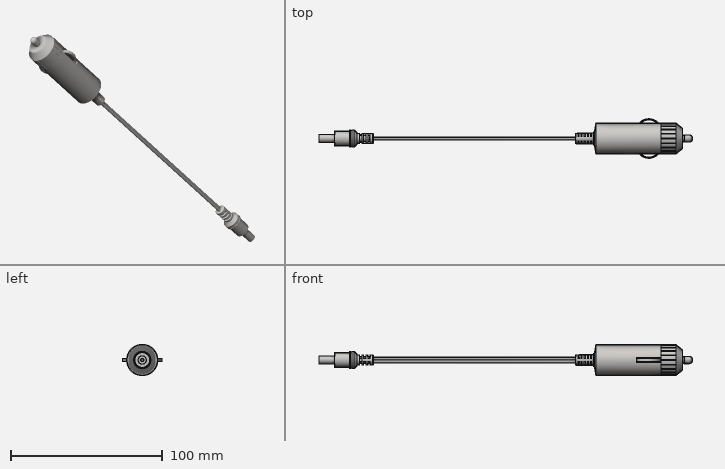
import cadquery as cq
import math

TOTAL_LENGTH = 246.0

BARREL_RADIUS = 2.7
BARREL_BORE_RADIUS = 1.05
BARREL_SEAT_DEPTH = 5.0
PLUG_FACE_X = 10.3
PLUG_RADIUS = 5.0
COLLAR_RADIUS = 5.7
COLLAR_START_X = 20.2
COLLAR_END_X = 23.9
COLLAR_EDGE_CHAMFER = 0.61
COLLAR_GROOVE_X = 21.0
COLLAR_GROOVE_WIDTH = 0.7
COLLAR_GROOVE_DEPTH = 0.2
SHOULDER_RADIUS = 4.0
PLUG_RELIEF_START_X = 25.0
PLUG_RELIEF_END_X = 36.0
PLUG_RELIEF_RADIUS = 3.5
PLUG_END_CHAMFER = 0.5
PLUG_CORE_RADIUS = 2.2
PLUG_GROOVE_WIDTH = 1.5
PLUG_GROOVE_START_X = 26.8
PLUG_GROOVE_PITCH = 2.7
PLUG_GROOVE_COUNT = 3
SPINE_WIDTH = 2.2
FIRST_SPINE_REACH = 2.7

WIRE_RADIUS = 1.0
CABLE_EMBED = 2.5

RELIEF_START_X = 169.0
RELIEF_RADIUS = 3.5
RELIEF_BASE_RADIUS = 3.7
FLANGE_RADIUS = 4.2
FLANGE_START_X = 180.8
WINDOW_COUNT = 5
WINDOW_START_X = 170.5
WINDOW_PITCH = 2.1
WINDOW_WIDTH = 0.7
WINDOW_HEIGHT = 1.7
WINDOW_FLOOR_Y = 1.5

HOUSING_DIAMETER = 20.5
HOUSING_RADIUS = HOUSING_DIAMETER / 2
HOUSING_START_X = 181.3
HOUSING_RIM_X = 182.2
CAP_START_X = 225.3
CAP_RIM_X = 235.0
CAP_END_X = 239.3
CAP_END_RADIUS = 6.6
CAP_GROOVE_COUNT = 20
CAP_GROOVE_WIDTH = 0.5
CAP_GROOVE_DEPTH = 0.2
CONTACT_RADIUS = 2.5
CONTACT_NECK_RADIUS = 2.2
CONTACT_NECK_LENGTH = 1.2
CONTACT_SEAT_DEPTH = 3.7

SPRING_REACH = 13.0
SPRING_RADIUS = 8.0
SPRING_THICKNESS = 0.7
SPRING_WIDTH = 2.2
SLOT_WIDTH = 3.5
SPRING_X = CAP_START_X - SPRING_RADIUS
SPRING_CENTRE_Y = SPRING_REACH - SPRING_RADIUS


def cylinder(start_x, end_x, radius):
    return cq.Workplane("YZ").workplane(offset=start_x).circle(radius).extrude(end_x - start_x)


def revolve_profile(points):
    """Turn a closed (x, radius) outline about the X axis."""
    return cq.Workplane("XY").polyline(points).close().revolve(360, (0, 0, 0), (1, 0, 0))


def box_between(x_range, y_range, z_range):
    sizes = [high - low for low, high in (x_range, y_range, z_range)]
    return cq.Workplane("XY").box(*sizes, centered=False).translate((x_range[0], y_range[0], z_range[0]))


def make_barrel():
    end_x = PLUG_FACE_X + BARREL_SEAT_DEPTH
    return cylinder(0, end_x, BARREL_RADIUS).cut(cylinder(0, end_x, BARREL_BORE_RADIUS))


def make_wire(side):
    start_x = PLUG_RELIEF_END_X - CABLE_EMBED
    end_x = RELIEF_START_X + CABLE_EMBED
    return cylinder(start_x, end_x, WIRE_RADIUS).translate((0, 0, side * WIRE_RADIUS))


def ring_groove(start_x, width, outer_radius, floor_radius):
    end_x = start_x + width
    return cylinder(start_x, end_x, outer_radius).cut(cylinder(start_x, end_x, floor_radius))


def make_plug_body(wires):
    grip = cylinder(PLUG_FACE_X, COLLAR_START_X, PLUG_RADIUS)
    collar = revolve_profile([
        (COLLAR_START_X, 0),
        (COLLAR_START_X, COLLAR_RADIUS),
        (COLLAR_END_X - COLLAR_EDGE_CHAMFER, COLLAR_RADIUS),
        (COLLAR_END_X, COLLAR_RADIUS - COLLAR_EDGE_CHAMFER),
        (PLUG_RELIEF_START_X, SHOULDER_RADIUS),
        (PLUG_RELIEF_START_X, 0),
    ])
    collar = collar.cut(ring_groove(
        COLLAR_GROOVE_X, COLLAR_GROOVE_WIDTH, COLLAR_RADIUS, COLLAR_RADIUS - COLLAR_GROOVE_DEPTH
    ))
    relief = cylinder(PLUG_RELIEF_START_X, PLUG_RELIEF_END_X, PLUG_RELIEF_RADIUS)
    relief = relief.faces(">X").edges().chamfer(PLUG_END_CHAMFER)
    for index in range(PLUG_GROOVE_COUNT):
        groove_x = PLUG_GROOVE_START_X + index * PLUG_GROOVE_PITCH
        groove = ring_groove(groove_x, PLUG_GROOVE_WIDTH, PLUG_RELIEF_RADIUS, PLUG_CORE_RADIUS)
        spine_reach = FIRST_SPINE_REACH if index == 0 else PLUG_RELIEF_RADIUS
        spine = box_between(
            (groove_x, groove_x + PLUG_GROOVE_WIDTH),
            (-spine_reach, spine_reach),
            (-SPINE_WIDTH / 2, SPINE_WIDTH / 2),
        )
        relief = relief.cut(groove.cut(spine))
    body = grip.union(collar).union(relief)
    seat = cylinder(PLUG_FACE_X, PLUG_FACE_X + BARREL_SEAT_DEPTH, BARREL_RADIUS)
    body = body.cut(seat)
    for wire in wires:
        body = body.cut(wire)
    return body


def make_relief(wires):
    relief = revolve_profile([
        (RELIEF_START_X, 0),
        (RELIEF_START_X, RELIEF_RADIUS),
        (FLANGE_START_X, RELIEF_BASE_RADIUS),
        (FLANGE_START_X, FLANGE_RADIUS),
        (HOUSING_START_X, FLANGE_RADIUS),
        (HOUSING_START_X, 0),
    ])
    for index in range(WINDOW_COUNT):
        window_x = WINDOW_START_X + index * WINDOW_PITCH
        window = box_between(
            (window_x, window_x + WINDOW_WIDTH),
            (WINDOW_FLOOR_Y, FLANGE_RADIUS),
            (SPINE_WIDTH / 2, SPINE_WIDTH / 2 + WINDOW_HEIGHT),
        )
        for side_window in (window, window.mirror("XZ")):
            relief = relief.cut(side_window).cut(side_window.mirror("XY"))
    for wire in wires:
        relief = relief.cut(wire)
    return relief


def make_housing():
    housing = revolve_profile([
        (HOUSING_START_X, 0),
        (HOUSING_START_X, FLANGE_RADIUS),
        (HOUSING_RIM_X, HOUSING_RADIUS),
        (CAP_START_X, HOUSING_RADIUS),
        (CAP_START_X, 0),
    ])
    for side in (-1, 1):
        slot = box_between(
            (SPRING_X - SPRING_RADIUS, CAP_START_X),
            (SPRING_CENTRE_Y, HOUSING_RADIUS),
            (-SLOT_WIDTH / 2, SLOT_WIDTH / 2),
        )
        housing = housing.cut(slot if side > 0 else slot.mirror("XZ"))
    return housing


def make_spring(side):
    inner_radius = SPRING_RADIUS - SPRING_THICKNESS
    arch = (
        cq.Workplane("XY")
        .workplane(offset=-SPRING_WIDTH / 2)
        .moveTo(-SPRING_RADIUS, 0)
        .threePointArc((0, SPRING_RADIUS), (SPRING_RADIUS, 0))
        .lineTo(inner_radius, 0)
        .threePointArc((0, inner_radius), (-inner_radius, 0))
        .close()
        .extrude(SPRING_WIDTH)
        .translate((SPRING_X, SPRING_CENTRE_Y, 0))
    )
    return arch if side > 0 else arch.mirror("XZ")


def make_contact():
    start_x = CAP_END_X - CONTACT_SEAT_DEPTH
    neck_end_x = CAP_END_X + CONTACT_NECK_LENGTH
    dome_x = TOTAL_LENGTH - CONTACT_RADIUS
    dome_middle = CONTACT_RADIUS * math.sqrt(0.5)
    return (
        cq.Workplane("XY")
        .moveTo(start_x, 0)
        .lineTo(start_x, CONTACT_NECK_RADIUS)
        .lineTo(neck_end_x, CONTACT_NECK_RADIUS)
        .lineTo(neck_end_x, CONTACT_RADIUS)
        .lineTo(dome_x, CONTACT_RADIUS)
        .threePointArc((dome_x + dome_middle, dome_middle), (TOTAL_LENGTH, 0))
        .close()
        .revolve(360, (0, 0, 0), (1, 0, 0))
    )


def make_cap(contact):
    cap = revolve_profile([
        (CAP_START_X, 0),
        (CAP_START_X, HOUSING_RADIUS),
        (CAP_RIM_X, HOUSING_RADIUS),
        (CAP_END_X, CAP_END_RADIUS),
        (CAP_END_X, 0),
    ])
    groove = box_between(
        (CAP_START_X, CAP_RIM_X),
        (HOUSING_RADIUS - CAP_GROOVE_DEPTH, HOUSING_RADIUS + CAP_GROOVE_DEPTH),
        (-CAP_GROOVE_WIDTH / 2, CAP_GROOVE_WIDTH / 2),
    )
    for index in range(CAP_GROOVE_COUNT):
        cap = cap.cut(groove.rotate((0, 0, 0), (1, 0, 0), index * 360 / CAP_GROOVE_COUNT))
    return cap.cut(contact)


barrel = make_barrel()
wires = [make_wire(side) for side in (-1, 1)]
plug_body = make_plug_body(wires)
relief = make_relief(wires)
housing = make_housing()
springs = [make_spring(side) for side in (-1, 1)]
contact = make_contact()
cap = make_cap(contact)

bodies = [barrel, plug_body, *wires, relief, housing, *springs, contact, cap]
result = cq.Compound.makeCompound([body.val() for body in bodies])